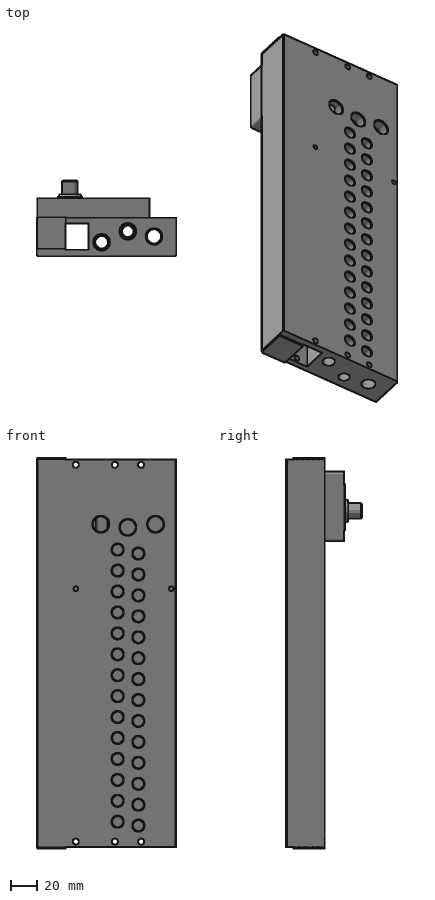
import cadquery as cq


width = 106.7
length = 299.0
block_depth = 29.5
block_inset = 1.2
block_bottom = block_inset
block_top = length - block_inset
edge_chamfer = 1.0

bar_left = 0.3
bar_right = 22.0
bar_front = 5.7
bar_back = 30.0
bar_edge_radius = 1.2

channel_width = 17.3
channel_front = 5.0
channel_back = 25.0

housing_left = 0.3
housing_right = 86.5
housing_back = 44.5
housing_bottom = 235.0
housing_height = 53.5
housing_radius = 2.0

connector_x = 25.5
connector_z = 258.3
pad_width = 18.5
pad_height = 35.3
pad_thickness = 1.0
pad_radius = 3.5
pad_center_z = 261.0
collar_diameter = 18.0
collar_tip_diameter = 16.0
collar_height = 2.0
plug_diameter = 12.3
plug_end = 58.3
plug_chamfer = 1.2

end_mouth_diameter = 11.0
end_chamfer = 1.0
front_mouth_diameter = 12.0
front_chamfer = 0.5
end_mouth_depth = 12.0
front_hole_depth = 9.0
supply_ports = [
    (49.5, 10.8, 9.5, 49.0, 248.2),
    (69.7, 19.0, 8.7, 69.7, 245.8),
    (89.7, 15.2, 10.8, 91.0, 248.2),
]

outlet_diameter = 8.5
outlet_chamfer = 0.5
outlet_count = 14
outlet_span = 208.0
outlet_pitch = outlet_span / (outlet_count - 1)
outlet_columns = [(62.0, 228.7), (77.7, 225.7)]

mount_diameter = 4.5
mount_xs = [30.0, 59.8, 79.8]
mount_end_distance = 5.5
pin_diameter = 3.5
pin_depth = 6.0
pin_xs = [30.0, 103.0]
pin_z = 198.8


def box(x_range, y_range, z_range):
    """Box spanning the given (low, high) pairs."""
    low, high = zip(x_range, y_range, z_range)
    size = [top - bottom for bottom, top in zip(low, high)]
    return cq.Workplane("XY").box(*size, centered=False).translate(low)


def rod_y(x, z, diameter, start, end):
    """Cylinder along Y between two Y positions."""
    return cq.Workplane("XZ", origin=(x, start, z)).circle(diameter / 2).extrude(start - end)


def rod_z(x, y, diameter, start, end):
    """Cylinder along Z between two Z positions."""
    return cq.Workplane("XY", origin=(x, y, start)).circle(diameter / 2).extrude(end - start)


def cone_y(x, z, start_diameter, end_diameter, start, height):
    """Truncated cone pointing toward +Y."""
    cone = cq.Solid.makeCone(
        start_diameter / 2, end_diameter / 2, height, cq.Vector(x, start, z), cq.Vector(0, 1, 0)
    )
    return cq.Workplane(cone)


def front_hole(x, z, diameter, chamfer):
    """Flat-bottomed blind hole from the front face with a chamfered rim."""
    hole = rod_y(x, z, diameter, 0, front_hole_depth)
    return hole.union(cone_y(x, z, diameter + 2 * chamfer, diameter, 0, chamfer))


def end_port(x, y, bore_diameter):
    """Bore through the length with a wider, chamfered mouth at the top end."""
    bore = rod_z(x, y, bore_diameter, 0, length)
    mouth = rod_z(x, y, end_mouth_diameter, block_top - end_mouth_depth, block_top)
    rim = cq.Solid.makeCone(
        end_mouth_diameter / 2,
        end_mouth_diameter / 2 + end_chamfer,
        end_chamfer,
        cq.Vector(x, y, block_top - end_chamfer),
    )
    return bore.union(mouth).union(cq.Workplane(rim))


def make_connector():
    """Pad, tapered collar and round plug pointing toward +Y."""
    pad_end = housing_back + pad_thickness
    pad = (
        box(
            (connector_x - pad_width / 2, connector_x + pad_width / 2),
            (housing_back, pad_end),
            (pad_center_z - pad_height / 2, pad_center_z + pad_height / 2),
        )
        .edges("|Y")
        .fillet(pad_radius)
    )
    collar = cone_y(
        connector_x, connector_z, collar_diameter, collar_tip_diameter, pad_end, collar_height
    )
    plug = rod_y(connector_x, connector_z, plug_diameter, housing_back, plug_end)
    plug = plug.faces(">Y").chamfer(plug_chamfer)
    return pad.union(collar).union(plug)


block = box((0, width), (0, block_depth), (block_bottom, block_top))
block = block.edges("|Z and <Y").chamfer(edge_chamfer)
bar = box((bar_left, bar_right), (bar_front, bar_back), (0, length))
bar = bar.edges("|Z").edges("<X").fillet(bar_edge_radius)
channel = box((bar_right, bar_right + channel_width), (channel_front, channel_back), (0, length))
housing = box(
    (housing_left, housing_right),
    (block_depth, housing_back),
    (housing_bottom, housing_bottom + housing_height),
)
housing = housing.edges("|Y").fillet(housing_radius)
result = block.union(bar).union(housing).union(make_connector()).cut(channel)

for bore_x, bore_y, bore_diameter, front_x, front_z in supply_ports:
    result = result.cut(end_port(bore_x, bore_y, bore_diameter))
    result = result.cut(front_hole(front_x, front_z, front_mouth_diameter, front_chamfer))

for column_x, top_z in outlet_columns:
    for index in range(outlet_count):
        hole_z = top_z - index * outlet_pitch
        result = result.cut(front_hole(column_x, hole_z, outlet_diameter, outlet_chamfer))

for mount_x in mount_xs:
    for mount_z in (mount_end_distance, length - mount_end_distance):
        result = result.cut(rod_y(mount_x, mount_z, mount_diameter, 0, block_depth))

for pin_x in pin_xs:
    result = result.cut(rod_y(pin_x, pin_z, pin_diameter, 0, pin_depth))